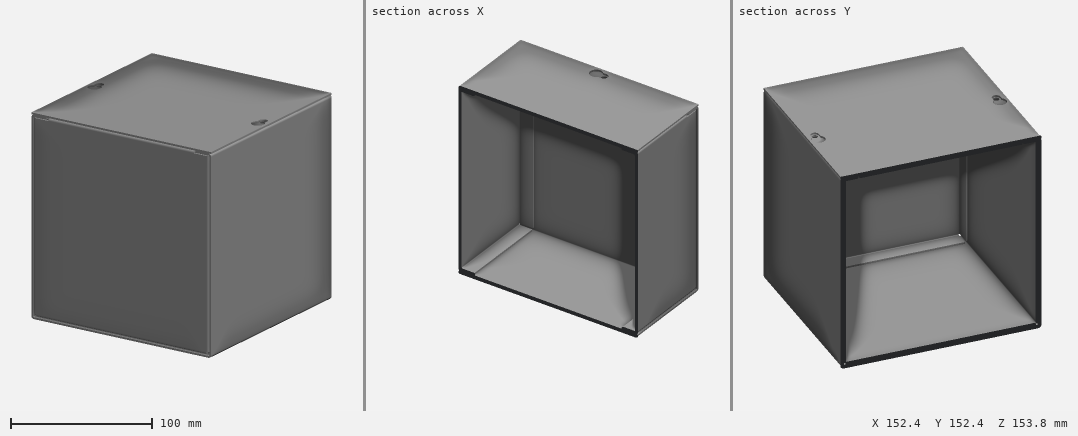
import cadquery as cq

box_size = 152.4
sheet = 1.45
bend_radius = 2.15
inner_bend_radius = bend_radius - sheet

lip_width = 12.7
lip_gap = 1.6
side_clearance = 0.35
floor_clearance = 0.6
flange_depth = 12.7

screw_inset = 6.85
screw_hole_diameter = 4.4
keyhole_slot_width = 6.35
keyhole_entry_diameter = 10.0
keyhole_travel = 6.75

half_size = box_size / 2
screw_points = [(side * (half_size - screw_inset), 0) for side in (-1, 1)]
panel_width = box_size - 2 * (sheet + side_clearance)
panel_height = box_size - sheet - floor_clearance
panel_center_z = box_size - panel_height / 2
face_width = panel_width - 2 * bend_radius
face_height = panel_height - 2 * bend_radius
top_flange_width = box_size - 2 * (lip_width + lip_gap)


def make_wrapper():
    """Floor, two side walls and two top lips bent from one sheet, open at both ends."""
    cavity_size = box_size - 2 * sheet
    cut_depth = 2 * sheet
    cavity = (
        cq.Workplane("XY")
        .box(cavity_size, box_size, cavity_size)
        .edges("|Y")
        .fillet(inner_bend_radius)
    )
    top_opening = (
        cq.Workplane("XY")
        .workplane(offset=half_size - cut_depth)
        .rect(box_size - 2 * lip_width, box_size)
        .extrude(cut_depth)
    )
    screw_holes = (
        cq.Workplane("XY")
        .workplane(offset=half_size - cut_depth)
        .pushPoints(screw_points)
        .circle(screw_hole_diameter / 2)
        .extrude(cut_depth)
    )
    return (
        cq.Workplane("XY")
        .box(box_size, box_size, box_size)
        .edges("|Y")
        .fillet(bend_radius)
        .cut(cavity)
        .cut(top_opening)
        .cut(screw_holes)
        .translate((0, 0, half_size))
    )


def bent_strip(span, length):
    """Flat web along X with a bent flange at both ends, outer face at Y = 0, flanges toward +Y."""
    half_span = span / 2
    profile = (
        cq.Workplane("XY")
        .moveTo(-half_span, flange_depth)
        .lineTo(-half_span, bend_radius)
        .radiusArc((-half_span + bend_radius, 0), -bend_radius)
        .lineTo(half_span - bend_radius, 0)
        .radiusArc((half_span, bend_radius), -bend_radius)
        .lineTo(half_span, flange_depth)
        .lineTo(half_span - sheet, flange_depth)
        .lineTo(half_span - sheet, bend_radius)
        .radiusArc((half_span - bend_radius, sheet), inner_bend_radius)
        .lineTo(-half_span + bend_radius, sheet)
        .radiusArc((-half_span + sheet, bend_radius), inner_bend_radius)
        .lineTo(-half_span + sheet, flange_depth)
        .close()
    )
    return profile.extrude(length / 2, both=True)


def make_end_panel():
    """Panel closing the -Y end, with four inward flanges, relieved at the corners."""
    side_flanges = bent_strip(panel_width, face_height)
    end_flanges = bent_strip(panel_height, face_width).rotate((0, 0, 0), (0, 1, 0), 90)
    tab_trim_width = (face_width - top_flange_width) / 2
    tab_trims = (
        cq.Workplane("XY")
        .workplane(offset=panel_height / 2 - bend_radius)
        .pushPoints([(side * (top_flange_width + tab_trim_width) / 2, 0) for side in (-1, 1)])
        .rect(tab_trim_width, 2 * flange_depth)
        .extrude(bend_radius)
    )
    return (
        side_flanges
        .union(end_flanges.cut(tab_trims))
        .translate((0, -half_size, panel_center_z))
    )


def make_cover():
    """Flat mounting plate with a keyhole over each screw hole of the wrapper."""
    plate = cq.Workplane("XY").rect(box_size, box_size).extrude(sheet)
    entries = (
        cq.Workplane("XY")
        .pushPoints([(x, y - keyhole_travel) for x, y in screw_points])
        .circle(keyhole_entry_diameter / 2)
        .extrude(sheet)
    )
    slots = (
        cq.Workplane("XY")
        .pushPoints([(x, y - keyhole_travel / 2) for x, y in screw_points])
        .slot2D(keyhole_travel + keyhole_slot_width, keyhole_slot_width, 90)
        .extrude(sheet)
    )
    return plate.cut(entries).cut(slots).translate((0, 0, box_size))


wrapper = make_wrapper()
end_panels = [
    make_end_panel().rotate((0, 0, 0), (0, 0, 1), turn)
    for turn in (0, 180)
]
cover = make_cover()

bodies = [wrapper, *end_panels, cover]
result = cq.Compound.makeCompound([body.solids().val() for body in bodies])